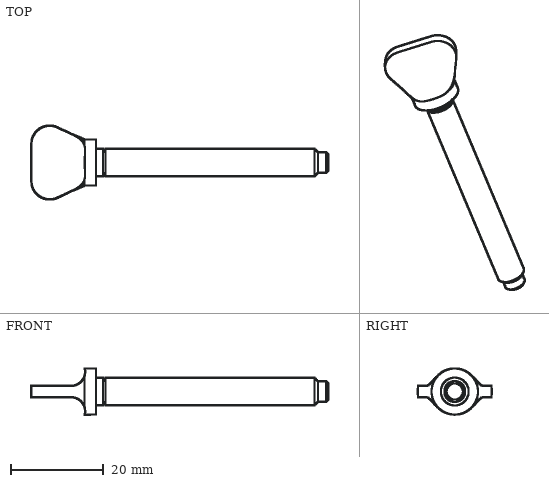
import cadquery as cq
import math

overall_length = 64.0
collar_start = 11.5
collar_end = 14.0
groove_start = 15.5
groove_width = 0.55
shank_end = 61.0

collar_diameter = 10.0
shank_diameter = 6.0
groove_diameter = 4.5
pilot_diameter = 4.5
pilot_chamfer = 0.5

bulb_diameter = 16.0
bulb_corner_radius = 4.0
paddle_thickness = 2.5
root_radius = 3.0
root_center_x = 8.6


def make_turned_body():
    """Bulb, collar, grooved shank and chamfered pilot, revolved about the X axis."""
    collar_radius = collar_diameter / 2
    shank_radius = shank_diameter / 2
    groove_radius = groove_diameter / 2
    pilot_radius = pilot_diameter / 2
    end_face_radius = bulb_diameter / 2 - bulb_corner_radius

    run = collar_start - bulb_corner_radius
    rise = collar_radius - end_face_radius
    taper = math.pi / 2 - math.atan2(rise, run) - math.acos(bulb_corner_radius / math.hypot(run, rise))
    taper_start_x = bulb_corner_radius * (1 + math.sin(taper))
    taper_start_radius = end_face_radius + bulb_corner_radius * math.cos(taper)

    pilot_start = shank_end + shank_radius - pilot_radius

    profile = (
        cq.Workplane("XY")
        .lineTo(0, end_face_radius)
        .radiusArc((taper_start_x, taper_start_radius), bulb_corner_radius)
        .lineTo(collar_start, collar_radius)
        .lineTo(collar_end, collar_radius)
        .lineTo(collar_end, shank_radius)
        .lineTo(groove_start, shank_radius)
        .lineTo(groove_start, groove_radius)
        .lineTo(groove_start + groove_width, shank_radius)
        .lineTo(shank_end, shank_radius)
        .lineTo(pilot_start, pilot_radius)
        .lineTo(overall_length - pilot_chamfer, pilot_radius)
        .lineTo(overall_length, pilot_radius - pilot_chamfer)
        .lineTo(overall_length, 0)
        .close()
    )
    return profile.revolve(360, (0, 0, 0), (1, 0, 0))


def make_upper_cutter():
    """Block that clears the bulb above the paddle, with a round nose forming the root."""
    half_thickness = paddle_thickness / 2
    nose_z = half_thickness + root_radius
    nose_top = nose_z + root_radius
    bulb_radius = bulb_diameter / 2

    outline = (
        cq.Workplane("XZ")
        .moveTo(0, half_thickness)
        .lineTo(root_center_x, half_thickness)
        .threePointArc((root_center_x + root_radius, nose_z), (root_center_x, nose_top))
        .lineTo(root_center_x, bulb_radius)
        .lineTo(0, bulb_radius)
        .close()
    )
    return outline.extrude(bulb_radius, both=True)


upper_cutter = make_upper_cutter()
lower_cutter = upper_cutter.mirror("XY")
result = make_turned_body().cut(upper_cutter).cut(lower_cutter)